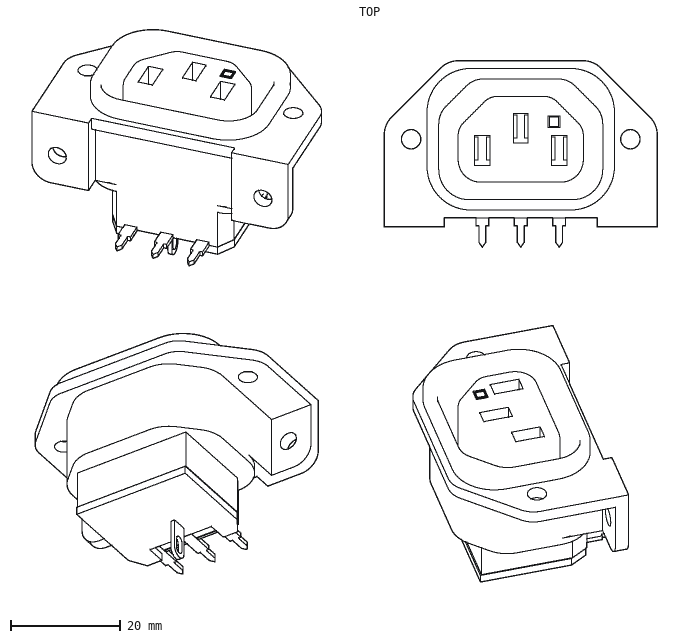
import cadquery as cq
import math


flange_width = 50.0
overall_depth = 34.16
overall_height = 36.7

flange_thickness = 2.4
flange_back_y = 14.4
flange_front_y = -16.05
flange_bevel_sum = 27.7
flange_corner_radius = 4.7
notch_half_width = 13.95
notch_front_y = -14.4
leg_bottom_z = -14.95
leg_thickness = 2.5
leg_corner_radius = 3.7
mount_hole_x = 20.05
mount_hole_diameter = 3.5
leg_hole_z = -8.65

shroud_half_x = 17.15
shroud_half_y = 12.95
shroud_radius = 8.0
shroud_top_z = 3.25
rim_fillet = 0.5

cavity_half_x = 15.0
cavity_half_y = 11.05
cavity_bevel_sum = 19.7
cavity_back_radius = 4.6
cavity_front_radius = 5.5
cavity_floor_fillet = 0.4
plug_half_x = 11.45
plug_half_y = 7.85
plug_bevel_sum = 13.5
plug_back_radius = 3.4
plug_front_radius = 4.1
plug_top_z = 3.2
plug_fillet = 1.0

housing_half_x = 16.4
housing_half_y = 12.45
housing_bottom_z = -16.45
housing_bevel_sum = 21.85
housing_radius = 6.5
cavity_floor_thickness = 1.5
cavity_floor_z = housing_bottom_z + cavity_floor_thickness

block_half_x = 11.85
block_back_y = 8.2
block_chamfer_x = 2.0
block_chamfer_y = 3.3
block_bottom_z = -24.1
cover_shift_y = 0.2
cover_top_z = -24.25
cover_bottom_z = -25.85
parting_groove_depth = 0.5
cover_notch_half_width = 6.7
cover_notch_depth = 4.0

contact_pitch = 7.03
side_socket_width = 2.8
centre_socket_width = 2.65
socket_length = 5.45
side_socket_centre_y = -2.05
centre_socket_centre_y = 2.0
socket_depth = 15.0
leaf_width = 0.65
leaf_length = 4.2
leaf_end_gap = 0.3
leaf_top_depth = 5.0

pin_top_z = -23.4
pin_thickness = 0.9
pin_shoulder_width = 2.4
pin_shoulder_y = -15.85
pin_width = 1.3
pin_root_depth = 2.4
pin_taper_y = -18.85
pin_tip_y = flange_back_y - overall_depth

tab_centre_x = -1.8
tab_thickness = 0.8
tab_centre_y = -4.43
tab_width = 3.2
tab_tip_z = -33.26
tab_slot_width = 1.75
tab_slot_length = 3.6
tab_slot_centre_z = -30.48

frame_centre = (6.1, 3.2)
frame_size = 2.15
frame_opening = 1.65
frame_top_z = tab_tip_z + overall_height


def rounded_outline(corners, z):
    """Closed outline at height z through (x, y, radius) corners listed in order."""
    pieces = []
    for i, (x, y, radius) in enumerate(corners):
        corner = cq.Vector(x, y)
        before = (cq.Vector(*corners[i - 1][:2]) - corner).normalized()
        after = (cq.Vector(*corners[(i + 1) % len(corners)][:2]) - corner).normalized()
        half_angle = before.getAngle(after) / 2
        tangent_length = radius / math.tan(half_angle)
        bisector = (before + after).normalized()
        middle = corner + bisector * (radius / math.sin(half_angle) - radius)
        start = corner + before * tangent_length
        end = corner + after * tangent_length
        pieces.append((start, middle, end, radius))

    outline = cq.Workplane("XY").workplane(offset=z).moveTo(*pieces[-1][2].toTuple()[:2])
    for start, middle, end, radius in pieces:
        outline = outline.lineTo(start.x, start.y)
        if radius > 0:
            outline = outline.threePointArc((middle.x, middle.y), (end.x, end.y))
    return outline.close()


def bevelled_corners(half_x, front_y, back_y, bevel_sum, back_radius, front_radius):
    """Corners of a rectangle whose two back corners are cut at 45 degrees."""
    right = [
        (half_x, front_y, front_radius),
        (half_x, bevel_sum - half_x, back_radius),
        (bevel_sum - back_y, back_y, back_radius),
    ]
    left = [(-x, y, radius) for x, y, radius in reversed(right)]
    return right + left


def box(x_range, y_range, z_range):
    size = [high - low for low, high in (x_range, y_range, z_range)]
    return cq.Workplane("XY").box(*size, centered=False).translate((x_range[0], y_range[0], z_range[0]))


def make_flange():
    corners = bevelled_corners(
        flange_width / 2, flange_front_y, flange_back_y, flange_bevel_sum, flange_corner_radius, 0
    )
    flange = rounded_outline(corners, -flange_thickness).extrude(flange_thickness)
    notch = box(
        (-notch_half_width, notch_half_width), (flange_front_y, notch_front_y), (-flange_thickness, 0)
    )
    holes = (
        cq.Workplane("XY")
        .pushPoints([(-mount_hole_x, 0), (mount_hole_x, 0)])
        .circle(mount_hole_diameter / 2)
        .extrude(-flange_thickness)
    )
    return flange.cut(notch).cut(holes)


def make_leg(side):
    """Leg with a rounded lower corner and a hole along Y; side is -1 or 1."""
    leg_back_y = flange_front_y + leg_thickness
    x_range = sorted((side * notch_half_width, side * flange_width / 2))
    outer_edge = ">X" if side > 0 else "<X"
    leg = box(x_range, (flange_front_y, leg_back_y), (leg_bottom_z, 0))
    leg = leg.faces("<Z").edges(outer_edge).fillet(leg_corner_radius)
    hole = (
        cq.Workplane("XZ", origin=(side * mount_hole_x, leg_back_y, leg_hole_z))
        .circle(mount_hole_diameter / 2)
        .extrude(leg_thickness)
    )
    link_x_range = sorted((side * notch_half_width, side * housing_half_x))
    link = box(link_x_range, (leg_back_y, -housing_half_y), (leg_bottom_z, 0))
    return leg.cut(hole).union(link)


def make_housing():
    corners = bevelled_corners(
        housing_half_x, -housing_half_y, housing_half_y, housing_bevel_sum, housing_radius, housing_radius
    )
    housing = rounded_outline(corners, housing_bottom_z).extrude(-housing_bottom_z)
    square_front = box((-housing_half_x, housing_half_x), (-housing_half_y, 0), (leg_bottom_z, 0))
    return housing.union(square_front)


def make_shroud():
    return (
        cq.Workplane("XY")
        .rect(2 * shroud_half_x, 2 * shroud_half_y)
        .extrude(shroud_top_z)
        .edges("|Z")
        .fillet(shroud_radius)
    )


def make_plug():
    corners = bevelled_corners(
        plug_half_x, -plug_half_y, plug_half_y, plug_bevel_sum, plug_back_radius, plug_front_radius
    )
    plug = rounded_outline(corners, cavity_floor_z).extrude(plug_top_z - cavity_floor_z)
    return plug.faces(">Z").edges().fillet(plug_fillet)


def make_cavity():
    """Space between shroud and plug, rounded where both walls meet the floor."""
    corners = bevelled_corners(
        cavity_half_x, -cavity_half_y, cavity_half_y,
        cavity_bevel_sum, cavity_back_radius, cavity_front_radius,
    )
    cavity = rounded_outline(corners, cavity_floor_z).extrude(shroud_top_z - cavity_floor_z)
    return cavity.cut(make_plug()).faces("<Z").edges().fillet(cavity_floor_fillet)


def block_outline(front_y, back_y, z):
    """Outline of the rear block: square at the back, chamfered at the front."""
    right = [
        (block_half_x - block_chamfer_x, front_y),
        (block_half_x, front_y + block_chamfer_y),
        (block_half_x, back_y),
    ]
    left = [(-x, y) for x, y in reversed(right)]
    return cq.Workplane("XY").workplane(offset=z).polyline(right + left).close()


def make_block():
    height = housing_bottom_z - block_bottom_z
    return block_outline(-housing_half_y, block_back_y, block_bottom_z).extrude(height)


def make_block_front():
    """Flat front of the block carried up to the square front of the housing."""
    half_x = block_half_x - block_chamfer_x
    return box((-half_x, half_x), (-housing_half_y, 0), (housing_bottom_z, leg_bottom_z))


def make_cover():
    front_y = -housing_half_y + cover_shift_y
    cover = block_outline(front_y, block_back_y + cover_shift_y, cover_bottom_z)
    cover = cover.extrude(cover_top_z - cover_bottom_z)
    notch = box(
        (-cover_notch_half_width, cover_notch_half_width),
        (front_y, front_y + cover_notch_depth),
        (cover_bottom_z, cover_top_z),
    )
    return cover.cut(notch)


def make_cover_neck():
    """Thin layer joining block and cover, set back to leave a groove around them."""
    half_x = block_half_x - block_chamfer_x - parting_groove_depth
    y_range = (-housing_half_y + cover_shift_y + parting_groove_depth, block_back_y - parting_groove_depth)
    return box((-half_x, half_x), y_range, (cover_top_z, block_bottom_z))


def make_socket(centre_x, centre_y, width):
    """Blind slot in the plug, less the two contact leaves along its sides."""
    back_y = centre_y + socket_length / 2
    bottom_z = plug_top_z - socket_depth
    half_width = width / 2
    slot = box(
        (centre_x - half_width, centre_x + half_width),
        (back_y - socket_length, back_y),
        (bottom_z, plug_top_z),
    )
    leaf_back_y = back_y - leaf_end_gap
    for leaf_x in (centre_x - half_width, centre_x + half_width - leaf_width):
        leaf = box(
            (leaf_x, leaf_x + leaf_width),
            (leaf_back_y - leaf_length, leaf_back_y),
            (bottom_z, plug_top_z - leaf_top_depth),
        )
        slot = slot.cut(leaf)
    return slot


def make_pin(centre_x):
    right = [
        (pin_shoulder_width / 2, -housing_half_y + pin_root_depth),
        (pin_shoulder_width / 2, pin_shoulder_y),
        (pin_width / 2, pin_shoulder_y),
        (pin_width / 2, pin_taper_y),
    ]
    left = [(-x, y) for x, y in reversed(right)]
    return (
        cq.Workplane("XY", origin=(centre_x, 0, pin_top_z))
        .polyline(right + [(0, pin_tip_y)] + left)
        .close()
        .extrude(-pin_thickness)
    )


def make_ground_tab():
    half_width = tab_width / 2
    tab = box(
        (tab_centre_x - tab_thickness / 2, tab_centre_x + tab_thickness / 2),
        (tab_centre_y - half_width, tab_centre_y + half_width),
        (tab_tip_z + half_width, cover_bottom_z),
    )
    side_plane = cq.Workplane("YZ", origin=(tab_centre_x, tab_centre_y, 0))
    tip = (
        side_plane.center(0, tab_tip_z + half_width)
        .circle(half_width)
        .extrude(tab_thickness / 2, both=True)
    )
    slot = (
        side_plane.center(0, tab_slot_centre_z)
        .slot2D(tab_slot_length, tab_slot_width, 90)
        .extrude(tab_thickness, both=True)
    )
    return tab.union(tip).cut(slot)


def make_frame():
    return (
        cq.Workplane("XY", origin=(*frame_centre, plug_top_z))
        .rect(frame_size, frame_size)
        .rect(frame_opening, frame_opening)
        .extrude(frame_top_z - plug_top_z)
    )


body = make_flange().union(make_housing()).union(make_shroud())
for side in (-1, 1):
    body = body.union(make_leg(side))
body = body.cut(make_cavity())
body = body.faces(">Z").edges().fillet(rim_fillet)

body = body.union(make_block()).union(make_block_front())
body = body.union(make_cover_neck()).union(make_cover())
sockets = [
    (-contact_pitch, side_socket_centre_y, side_socket_width),
    (0, centre_socket_centre_y, centre_socket_width),
    (contact_pitch, side_socket_centre_y, side_socket_width),
]
for centre_x, centre_y, width in sockets:
    body = body.cut(make_socket(centre_x, centre_y, width))
    body = body.union(make_pin(centre_x))

result = body.union(make_ground_tab()).union(make_frame())